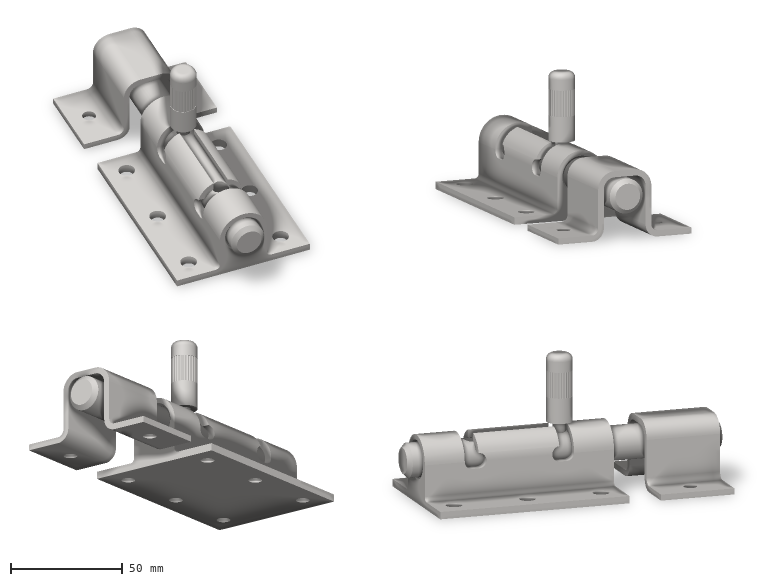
import cadquery as cq
import math

BOLT_LENGTH = 150.0
BOLT_DIAMETER = 16.0
AXIS_HEIGHT = 20.0
PLATE_WIDTH = 65.0
BRACKET_TOP = 31.5
SCREW_OFFSET = 22.5
SCREW_DIAMETER = 6.2

KEEPER_START = 3.5
KEEPER_LENGTH = 35.0
KEEPER_SHEET = 2.8
KEEPER_WIDTH = 26.0
KEEPER_TOP_RADIUS = 8.0
KEEPER_FOOT_RADIUS = 3.0

HOUSING_GAP = 15.0
HOUSING_START = KEEPER_START + KEEPER_LENGTH + HOUSING_GAP
HOUSING_LENGTH = 90.0
HOUSING_CENTER = HOUSING_START + HOUSING_LENGTH / 2
HOUSING_RADIUS = BRACKET_TOP - AXIS_HEIGHT
FLANGE_THICKNESS = 3.4
HOUSING_FOOT_RADIUS = 2.0
BORE_DIAMETER = 16.2
BORE_CHAMFER = 1.0
SCREW_SPACING = 35.0
SCREW_RIM_DIAMETER = 7.5

SLOT_OUTER_OFFSET = 26.0
SLOT_WIDTH = 6.8
SLOT_POCKET_RADIUS = 3.5
TRAVEL_SLIT_WIDTH = 7.0

BOLT_CHAMFER = 2.0
STEM_DIAMETER = 6.0
HANDLE_X = HOUSING_CENTER - SLOT_OUTER_OFFSET + STEM_DIAMETER / 2
GRIP_DIAMETER = 12.0
GRIP_BOTTOM = 32.3
GRIP_TOP = 64.0
GRIP_TOP_RADIUS = 3.0
KNURL_BOTTOM = 44.0
KNURL_TOP = 56.0
KNURL_COUNT = 30
KNURL_DEPTH = 0.3
CROSS_HOLE_X = 117.8
CROSS_HOLE_DIAMETER = 7.5


def vertical_cylinder(x, y, diameter, bottom, top):
    return cq.Workplane("XY", origin=(x, y, bottom)).circle(diameter / 2).extrude(top - bottom)


def axial_cylinder(start, length, diameter):
    return cq.Workplane("YZ", origin=(start, 0, AXIS_HEIGHT)).circle(diameter / 2).extrude(length)


def screw_points(x_positions):
    """Screw centres on both sides of the bolt axis."""
    return [(x, side * SCREW_OFFSET) for x in x_positions for side in (-1, 1)]


def crown(start, length, width, top, top_radius, foot_height, foot_radius):
    """Upright bar that flares out at its foot and is rounded along its top."""
    wall = width / 2
    flat = wall - top_radius
    foot = wall + foot_radius
    outline = (
        cq.Workplane("YZ", origin=(start, 0, 0))
        .moveTo(-foot, foot_height)
        .radiusArc((-wall, foot_height + foot_radius), -foot_radius)
        .lineTo(-wall, top - top_radius)
        .radiusArc((-flat, top), top_radius)
    )
    if flat > 0:
        outline = outline.lineTo(flat, top)
    outline = (
        outline.radiusArc((wall, top - top_radius), top_radius)
        .lineTo(wall, foot_height + foot_radius)
        .radiusArc((foot, foot_height), -foot_radius)
        .close()
    )
    return outline.extrude(length)


def base_plate(start, length, thickness):
    plate = cq.Workplane("XY", origin=(start, 0, 0))
    return plate.box(length, PLATE_WIDTH, thickness, centered=(False, True, False))


def make_keeper():
    outside = base_plate(KEEPER_START, KEEPER_LENGTH, KEEPER_SHEET).union(
        crown(
            KEEPER_START, KEEPER_LENGTH, KEEPER_WIDTH, BRACKET_TOP,
            KEEPER_TOP_RADIUS, KEEPER_SHEET, KEEPER_FOOT_RADIUS,
        )
    )
    inside = crown(
        KEEPER_START, KEEPER_LENGTH, KEEPER_WIDTH - 2 * KEEPER_SHEET, BRACKET_TOP - KEEPER_SHEET,
        KEEPER_TOP_RADIUS - KEEPER_SHEET, 0, KEEPER_FOOT_RADIUS + KEEPER_SHEET,
    )
    keeper = outside.cut(inside)
    for x, y in screw_points([KEEPER_START + KEEPER_LENGTH / 2]):
        keeper = keeper.cut(vertical_cylinder(x, y, SCREW_DIAMETER, 0, KEEPER_SHEET))
    return keeper


def housing_bore():
    """Bore for the bolt, chamfered at each end of the housing."""
    bore = axial_cylinder(HOUSING_START, HOUSING_LENGTH, BORE_DIAMETER)
    bore_radius = BORE_DIAMETER / 2
    for end, inward in ((HOUSING_START, 1), (HOUSING_START + HOUSING_LENGTH, -1)):
        mouth = cq.Solid.makeCone(
            bore_radius + BORE_CHAMFER, bore_radius, BORE_CHAMFER,
            pnt=cq.Vector(end, 0, AXIS_HEIGHT), dir=cq.Vector(inward, 0, 0),
        )
        bore = bore.union(cq.Workplane(mouth))
    return bore


def locking_slot():
    """Slot at the keeper end: a channel over the top with a longer rounded pocket at its foot."""
    outer_wall = HOUSING_CENTER - SLOT_OUTER_OFFSET
    inner_wall = outer_wall + SLOT_WIDTH
    across = 2 * HOUSING_RADIUS
    channel = cq.Workplane("XY", origin=(outer_wall, 0, AXIS_HEIGHT)).box(
        SLOT_WIDTH, across, across, centered=(False, True, False)
    )
    pocket_start = outer_wall + SLOT_POCKET_RADIUS
    pocket = (
        cq.Workplane("XZ", origin=((pocket_start + inner_wall) / 2, HOUSING_RADIUS, AXIS_HEIGHT))
        .slot2D(inner_wall - pocket_start + 2 * SLOT_POCKET_RADIUS, 2 * SLOT_POCKET_RADIUS)
        .extrude(across)
    )
    return channel.union(pocket)


def travel_slit():
    """Straight slit over the bolt that joins the two locking slots."""
    return cq.Workplane("XY", origin=(HOUSING_CENTER, 0, AXIS_HEIGHT)).box(
        2 * (SLOT_OUTER_OFFSET - SLOT_WIDTH), TRAVEL_SLIT_WIDTH, HOUSING_RADIUS,
        centered=(True, True, False),
    )


def tapered_screw_hole(x, y):
    """Screw hole that narrows from the top of the flange to its underside."""
    cone = cq.Solid.makeCone(
        SCREW_DIAMETER / 2, SCREW_RIM_DIAMETER / 2, FLANGE_THICKNESS, pnt=cq.Vector(x, y, 0),
    )
    return cq.Workplane(cone)


def make_housing():
    housing = base_plate(HOUSING_START, HOUSING_LENGTH, FLANGE_THICKNESS).union(
        crown(
            HOUSING_START, HOUSING_LENGTH, 2 * HOUSING_RADIUS, BRACKET_TOP,
            HOUSING_RADIUS, FLANGE_THICKNESS, HOUSING_FOOT_RADIUS,
        )
    )
    slot = locking_slot()
    housing = (
        housing.cut(housing_bore())
        .cut(travel_slit())
        .cut(slot)
        .cut(slot.mirror("YZ", (HOUSING_CENTER, 0, 0)))
    )
    screw_columns = [HOUSING_CENTER + step * SCREW_SPACING for step in (-1, 0, 1)]
    for x, y in screw_points(screw_columns):
        housing = housing.cut(tapered_screw_hole(x, y))
    return housing


def knurled_band():
    """Middle of the grip, with V-grooves spaced evenly around it, the first on the X axis."""
    outline = []
    for i in range(2 * KNURL_COUNT):
        radius = GRIP_DIAMETER / 2 - KNURL_DEPTH * ((i + 1) % 2)
        angle = i * math.pi / KNURL_COUNT
        outline.append((radius * math.cos(angle), radius * math.sin(angle)))
    band = cq.Workplane("XY", origin=(HANDLE_X, 0, KNURL_BOTTOM)).polyline(outline).close()
    return band.extrude(KNURL_TOP - KNURL_BOTTOM)


def make_handle():
    stem = vertical_cylinder(HANDLE_X, 0, STEM_DIAMETER, AXIS_HEIGHT, GRIP_BOTTOM)
    lower_grip = vertical_cylinder(HANDLE_X, 0, GRIP_DIAMETER, GRIP_BOTTOM, KNURL_BOTTOM)
    upper_grip = vertical_cylinder(HANDLE_X, 0, GRIP_DIAMETER, KNURL_TOP, GRIP_TOP)
    upper_grip = upper_grip.faces(">Z").edges().fillet(GRIP_TOP_RADIUS)
    return stem.union(lower_grip).union(knurled_band()).union(upper_grip)


def make_bolt():
    rod = axial_cylinder(0, BOLT_LENGTH, BOLT_DIAMETER)
    rod = rod.faces("<X or >X").edges().chamfer(BOLT_CHAMFER)
    rod_bottom = AXIS_HEIGHT - BOLT_DIAMETER / 2
    rod_top = AXIS_HEIGHT + BOLT_DIAMETER / 2
    rod = rod.cut(vertical_cylinder(CROSS_HOLE_X, 0, CROSS_HOLE_DIAMETER, rod_bottom, rod_top))
    return rod.union(make_handle())


keeper = make_keeper()
housing = make_housing()
bolt = make_bolt()

result = cq.Compound.makeCompound([keeper.val(), housing.val(), bolt.val()])